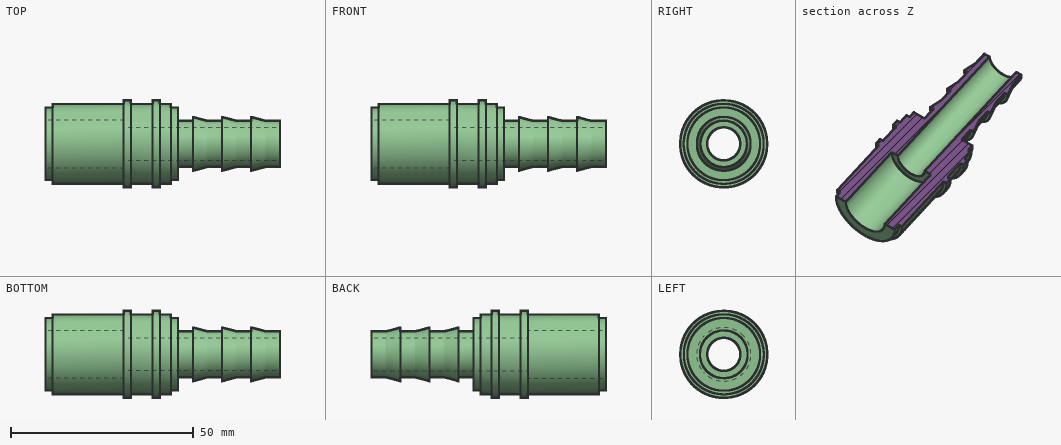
import cadquery as cq

total_length = 64.5
collar_diameter = 24.0
body_diameter = 22.0
rim_diameter = 20.0
stem_diameter = 12.7
barb_diameter = 14.85
socket_diameter = 13.15
through_diameter = 9.0

rim_length = 2.0
body_length = 32.5
collar_width = 2.0
collar_gap = 6.0
collar_end_margin = 3.0

barb_count = 3
barb_length = 4.0
barb_pitch = 2 * barb_length
barb_tip_margin = barb_length

body_start = rim_length
body_end = body_start + body_length
head_end = body_end + rim_length
second_collar_start = body_end - collar_end_margin - collar_width
first_collar_start = second_collar_start - collar_gap - collar_width
last_barb_start = total_length - barb_tip_margin - barb_length
socket_depth = first_collar_start


def cylinder(diameter, start, length):
    """Solid cylinder along +X from the given start."""
    return cq.Workplane("YZ", origin=(start, 0, 0)).circle(diameter / 2).extrude(length)


def barb(start):
    """Cone that stands above the stem at its start and tapers down to it toward +X."""
    end = start + barb_length
    half_profile = [
        (start, 0),
        (start, barb_diameter / 2),
        (end, stem_diameter / 2),
        (end, 0),
    ]
    return cq.Workplane("XY").polyline(half_profile).close().revolve(360, (0, 0, 0), (1, 0, 0))


head = cylinder(rim_diameter, 0, head_end)
head = head.union(cylinder(body_diameter, body_start, body_length))
for collar_start in (first_collar_start, second_collar_start):
    head = head.union(cylinder(collar_diameter, collar_start, collar_width))

stem = cylinder(stem_diameter, head_end, total_length - head_end)
for index in range(barb_count):
    stem = stem.union(barb(last_barb_start - index * barb_pitch))

socket = cylinder(socket_diameter, 0, socket_depth)
through_hole = cylinder(through_diameter, 0, total_length)

result = head.union(stem).cut(socket).cut(through_hole)